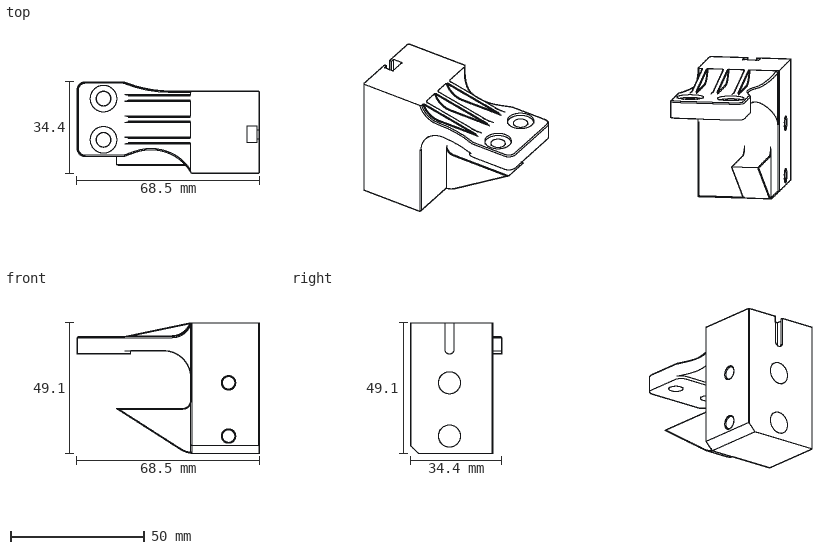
import cadquery as cq
import math

LENGTH = 68.5
DEPTH = 34.4
HEIGHT = 49.1

BLOCK_LEFT = 42.65
BLOCK_DEPTH = 30.95
BOTTOM_BEVEL = 3.0
EDGE_CHAMFER = 0.5
FINE_CHAMFER = 0.3

PLATE_LENGTH = 20.05
PLATE_FRONT = 6.4
PLATE_TOP = 43.95
PLATE_BOTTOM = 37.45
PLATE_CORNER_RADIUS = 3.0
ARM_BOTTOM = 38.55
ARM_TOP_FILLET = 7.5
ARM_TOP_FILLET_START = 35.55
ARM_BOTTOM_FILLET = 10.0
ARM_ROOT = BLOCK_LEFT + 1.4
SCALLOP_RADIUS = 17.5
SCALLOP_X = 27.75
SCALLOP_Y = -8.6
SCALLOP_END_Y = 0.2
BACK_FLANK_X = 34.9

PLATE_HOLE_DIAMETER = 5.4
COUNTERBORE_DIAMETER = 10.0
COUNTERBORE_DEPTH = 1.0
PLATE_HOLE_X = 9.9
PLATE_HOLE_SPACING = 15.5

RIB_START = 17.95
RIB_WIDTH = 2.0
RIB_SPACING = 8.0
RIB_EMBED = 1.4

HOOK_TIP_X = 14.8
HOOK_TOP = 16.9
HOOK_FRONT = 3.0
HOOK_WIDTH = 10.4
HOOK_TOP_FILLET = 3.0
HOOK_HEEL_RADIUS = 10.0
HOOK_HEEL_X = 41.2

SIDE_HOLE_DIAMETER = 4.7
SIDE_HOLE_MOUTH = 5.4
SIDE_HOLE_X = 56.9
SIDE_HOLE_LOW_Z = 6.6
SIDE_HOLE_SPACING = 20.0
HOLE_HEIGHTS = (SIDE_HOLE_LOW_Z, SIDE_HOLE_LOW_Z + SIDE_HOLE_SPACING)

BORE_DIAMETER = 8.3
BORE_DEPTH = 20.0
BORE_Y = 14.65

SLOT_Y = BORE_Y
SLOT_HEAD_WIDTH = 6.2
SLOT_NECK_WIDTH = 3.4
SLOT_HEAD_START = 63.8
SLOT_HEAD_END = 67.6
SLOT_DEPTH = 10.0

PLATE_MIDDLE_Y = (PLATE_FRONT + DEPTH) / 2


def make_block():
    """Upright block with light chamfers and one large bottom bevel."""
    block = cq.Workplane("XY").box(LENGTH - BLOCK_LEFT, BLOCK_DEPTH, HEIGHT, centered=False)
    block = block.translate((BLOCK_LEFT, 0, 0))
    block = block.edges("<Y and <Z").chamfer(BOTTOM_BEVEL)
    block = block.edges("|Z and >X").chamfer(FINE_CHAMFER)
    left_edges = block.faces("<X").edges("not >Z")
    return left_edges.chamfer(EDGE_CHAMFER)


def plate_and_arm_outline():
    """Plate and arm seen from above, extruded through the full height."""
    radius = PLATE_CORNER_RADIUS
    corner_x = PLATE_LENGTH - radius
    front_corner_y = PLATE_FRONT + radius
    back_corner_y = DEPTH - radius

    dx = SCALLOP_X - corner_x
    dy = SCALLOP_Y - front_corner_y
    flank_angle = math.atan2(dy, dx) + math.asin((radius + SCALLOP_RADIUS) / math.hypot(dx, dy))
    sine = math.sin(flank_angle)
    cosine = math.cos(flank_angle)
    flank_start = (corner_x + radius * sine, front_corner_y - radius * cosine)
    flank_end = (SCALLOP_X - SCALLOP_RADIUS * sine, SCALLOP_Y + SCALLOP_RADIUS * cosine)
    scallop_end_x = SCALLOP_X + math.sqrt(SCALLOP_RADIUS**2 - (SCALLOP_END_Y - SCALLOP_Y) ** 2)

    run = BACK_FLANK_X - corner_x
    rise = BLOCK_DEPTH - back_corner_y
    back_radius = (run**2 + rise**2 - radius**2) / (2 * (radius - rise))
    share = radius / (radius + back_radius)
    back_start = (corner_x + share * run, back_corner_y + share * (rise + back_radius))

    return (
        cq.Workplane("XY")
        .moveTo(0, front_corner_y)
        .radiusArc((radius, PLATE_FRONT), -radius)
        .lineTo(corner_x, PLATE_FRONT)
        .tangentArcPoint(flank_start, relative=False)
        .lineTo(*flank_end)
        .threePointArc((SCALLOP_X, SCALLOP_Y + SCALLOP_RADIUS), (scallop_end_x, SCALLOP_END_Y))
        .lineTo(ARM_ROOT, SCALLOP_END_Y)
        .lineTo(ARM_ROOT, BLOCK_DEPTH)
        .lineTo(BACK_FLANK_X, BLOCK_DEPTH)
        .tangentArcPoint(back_start, relative=False)
        .radiusArc((corner_x, DEPTH), -radius)
        .lineTo(radius, DEPTH)
        .radiusArc((0, back_corner_y), -radius)
        .close()
        .extrude(HEIGHT)
    )


def arm_top_arc_center():
    """Axis (x, z) of the concave round between the arm top and the block."""
    return (ARM_TOP_FILLET_START, PLATE_TOP + ARM_TOP_FILLET)


def arm_profile():
    """Arm seen from the front, extruded through the full depth."""
    center_x, center_z = arm_top_arc_center()
    arc_end_x = center_x + math.sqrt(ARM_TOP_FILLET**2 - (center_z - HEIGHT) ** 2)
    return (
        cq.Workplane("XZ")
        .moveTo(0, ARM_BOTTOM)
        .lineTo(BLOCK_LEFT - ARM_BOTTOM_FILLET, ARM_BOTTOM)
        .tangentArcPoint((BLOCK_LEFT, ARM_BOTTOM - ARM_BOTTOM_FILLET), relative=False)
        .lineTo(ARM_ROOT, ARM_BOTTOM - ARM_BOTTOM_FILLET)
        .lineTo(ARM_ROOT, HEIGHT)
        .lineTo(arc_end_x, HEIGHT)
        .radiusArc((center_x, PLATE_TOP), ARM_TOP_FILLET)
        .lineTo(0, PLATE_TOP)
        .close()
        .extrude(-DEPTH)
    )


def make_plate_and_arm():
    """Rounded plate joined to the arm, with a chamfer around the top outline."""
    plate = (
        cq.Workplane("XY")
        .box(PLATE_LENGTH, DEPTH - PLATE_FRONT, PLATE_TOP - PLATE_BOTTOM, centered=False)
        .translate((0, PLATE_FRONT, PLATE_BOTTOM))
        .edges("|Z")
        .fillet(PLATE_CORNER_RADIUS)
    )
    arm = plate_and_arm_outline().intersect(arm_profile())
    body = plate.union(arm, clean=True)
    outline = body.faces("+Z").faces("<Z").edges("not >X")
    return body.newObject(outline.vals()).chamfer(EDGE_CHAMFER)


def rib_wedge(middle_y, width):
    """Wedge rising from the plate to the block top, sunk slightly into both."""
    return (
        cq.Workplane("XZ", origin=(0, middle_y + width / 2, 0))
        .moveTo(RIB_START, PLATE_TOP)
        .lineTo(BLOCK_LEFT, HEIGHT)
        .lineTo(ARM_ROOT, HEIGHT)
        .lineTo(ARM_ROOT, PLATE_TOP - RIB_EMBED)
        .lineTo(RIB_START, PLATE_TOP - RIB_EMBED)
        .close()
        .extrude(width)
    )


def make_rib(middle_y):
    """Rib with chamfered top edges and a foot flared onto the plate and the concave round."""
    web = rib_wedge(middle_y, RIB_WIDTH)
    sloping_face = web.faces("not (|X or |Y or |Z)")
    web = sloping_face.edges("not |Y").chamfer(FINE_CHAMFER)

    foot_width = RIB_WIDTH + 2 * FINE_CHAMFER
    center_x, center_z = arm_top_arc_center()
    flat_foot = (
        cq.Workplane("YZ", origin=(RIB_START, middle_y, PLATE_TOP))
        .polyline([
            (-foot_width / 2, 0),
            (foot_width / 2, 0),
            (RIB_WIDTH / 2, FINE_CHAMFER),
            (-RIB_WIDTH / 2, FINE_CHAMFER),
        ])
        .close()
        .extrude(center_x - RIB_START)
    )
    inner_radius = ARM_TOP_FILLET - FINE_CHAMFER
    outer_radius = ARM_TOP_FILLET + FINE_CHAMFER
    round_foot = (
        cq.Workplane("YZ", origin=(center_x, middle_y, center_z))
        .polyline([
            (-foot_width / 2, -outer_radius),
            (foot_width / 2, -outer_radius),
            (foot_width / 2, -ARM_TOP_FILLET),
            (RIB_WIDTH / 2, -inner_radius),
            (-RIB_WIDTH / 2, -inner_radius),
            (-foot_width / 2, -ARM_TOP_FILLET),
        ])
        .close()
        .revolve(90, (0, 0, 0), (-1, 0, 0))
    )
    foot = rib_wedge(middle_y, foot_width).intersect(flat_foot.union(round_foot))
    return web.union(foot)


def make_hook():
    """Tapered hook with a rounded heel, blended into the block at its top."""
    slope = math.atan2(HOOK_TOP, HOOK_HEEL_X - HOOK_TIP_X)
    heel_tangent = HOOK_HEEL_RADIUS * math.tan(slope / 2)
    heel_start = (
        HOOK_HEEL_X - heel_tangent * math.cos(slope),
        heel_tangent * math.sin(slope),
    )
    heel_end_x = HOOK_HEEL_X + heel_tangent
    hook = (
        cq.Workplane("XZ", origin=(0, HOOK_FRONT, 0))
        .moveTo(HOOK_TIP_X, HOOK_TOP)
        .lineTo(*heel_start)
        .tangentArcPoint((heel_end_x, 0), relative=False)
        .lineTo(heel_end_x, HOOK_TOP + HOOK_TOP_FILLET)
        .lineTo(BLOCK_LEFT, HOOK_TOP + HOOK_TOP_FILLET)
        .radiusArc((BLOCK_LEFT - HOOK_TOP_FILLET, HOOK_TOP), HOOK_TOP_FILLET)
        .close()
        .extrude(-HOOK_WIDTH)
    )
    return hook.faces("<Y or >Y").edges("not (>X or >Z)").chamfer(FINE_CHAMFER)


def plate_holes():
    """Counterbored screw holes through the plate."""
    holes = cq.Workplane("XY")
    for side in (-1, 1):
        y = PLATE_MIDDLE_Y + side * PLATE_HOLE_SPACING / 2
        shaft = cq.Workplane("XY").center(PLATE_HOLE_X, y).circle(PLATE_HOLE_DIAMETER / 2).extrude(HEIGHT)
        recess = (
            cq.Workplane("XY", origin=(PLATE_HOLE_X, y, PLATE_TOP - COUNTERBORE_DEPTH))
            .circle(COUNTERBORE_DIAMETER / 2)
            .extrude(COUNTERBORE_DEPTH)
        )
        holes = holes.add(shaft.union(recess))
    return holes.combine()


def side_holes():
    """Chamfered screw holes from the front face to the axes of the lengthwise bores."""
    holes = cq.Workplane("XY")
    mouth_depth = (SIDE_HOLE_MOUTH - SIDE_HOLE_DIAMETER) / 2
    for z in HOLE_HEIGHTS:
        half_section = (
            cq.Workplane("XY", origin=(SIDE_HOLE_X, 0, z))
            .lineTo(SIDE_HOLE_MOUTH / 2, 0)
            .lineTo(SIDE_HOLE_DIAMETER / 2, mouth_depth)
            .lineTo(SIDE_HOLE_DIAMETER / 2, BORE_Y)
            .lineTo(0, BORE_Y)
            .close()
        )
        holes = holes.add(half_section.revolve(360, (0, 0, 0), (0, 1, 0)))
    return holes.combine()


def lengthwise_bores():
    """Blind bores parallel to the length of the part."""
    return (
        cq.Workplane("YZ", origin=(LENGTH, 0, 0))
        .pushPoints([(BORE_Y, z) for z in HOLE_HEIGHTS])
        .circle(BORE_DIAMETER / 2)
        .extrude(-BORE_DEPTH)
    )


def round_ended_slot(width, start_x, end_x):
    """Vertical slot open at the block top, with a round lower end."""
    center_z = HEIGHT - SLOT_DEPTH
    return (
        cq.Workplane("YZ", origin=(start_x, SLOT_Y, 0))
        .moveTo(-width / 2, HEIGHT)
        .lineTo(-width / 2, center_z)
        .threePointArc((0, center_z - width / 2), (width / 2, center_z))
        .lineTo(width / 2, HEIGHT)
        .close()
        .extrude(end_x - start_x)
    )


result = make_block().union(make_plate_and_arm())
for rib_index in (-1, 0, 1):
    result = result.union(make_rib(PLATE_MIDDLE_Y + rib_index * RIB_SPACING))
result = (
    result.union(make_hook())
    .cut(plate_holes())
    .cut(lengthwise_bores())
    .cut(side_holes())
    .cut(round_ended_slot(SLOT_HEAD_WIDTH, SLOT_HEAD_START, SLOT_HEAD_END))
    .cut(round_ended_slot(SLOT_NECK_WIDTH, SLOT_HEAD_START, LENGTH))
)